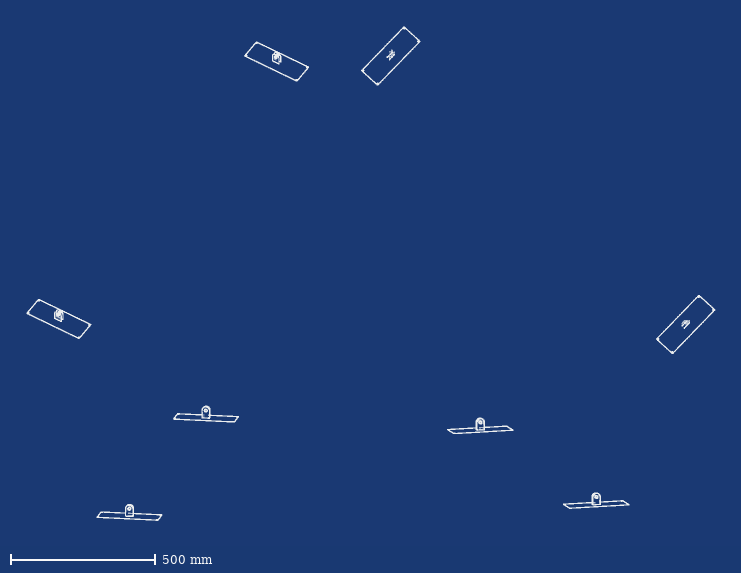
import cadquery as cq

bracket_pitch = 1400.0
bracket_count = 2
bracket_height = 40.81
sheet_thickness = 0.9

plate_length = 214.6
plate_width = 76.0
corner_hole_diameter = 2.2
corner_hole_inset = 4.5
corner_hole_pitch_x = plate_length - 2 * corner_hole_inset
corner_hole_pitch_y = plate_width - 2 * corner_hole_inset

lug_width = 26.5
lug_radius = lug_width / 2
lug_gap = 10.0
lug_hole_diameter = 10.13
lug_hole_height = bracket_height - lug_radius


def make_base_plate():
    """Thin plate resting on Z = 0, with a small through hole in each corner."""
    return (
        cq.Workplane("XY")
        .box(plate_length, plate_width, sheet_thickness, centered=(True, True, False))
        .faces(">Z")
        .workplane()
        .rect(corner_hole_pitch_x, corner_hole_pitch_y, forConstruction=True)
        .vertices()
        .hole(corner_hole_diameter)
    )


def make_lug(front_y):
    """Upright tab with a round top and a cross hole, reaching from front_y toward +Y."""
    return (
        cq.Workplane("XZ", origin=(0, front_y, 0))
        .moveTo(-lug_radius, 0)
        .lineTo(-lug_radius, lug_hole_height)
        .threePointArc((0, bracket_height), (lug_radius, lug_hole_height))
        .lineTo(lug_radius, 0)
        .close()
        .moveTo(0, lug_hole_height)
        .circle(lug_hole_diameter / 2)
        .extrude(-sheet_thickness)
    )


def make_bracket(center_y):
    """Base plate with its two lugs, as one solid."""
    front_lug = make_lug(-lug_gap / 2 - sheet_thickness)
    rear_lug = make_lug(lug_gap / 2)
    bracket = make_base_plate().union(front_lug).union(rear_lug)
    return bracket.translate((0, center_y, 0))


brackets = []
for index in range(bracket_count):
    center_y = (index - (bracket_count - 1) / 2) * bracket_pitch
    brackets.append(make_bracket(center_y).solids().val())

result = cq.Compound.makeCompound(brackets)